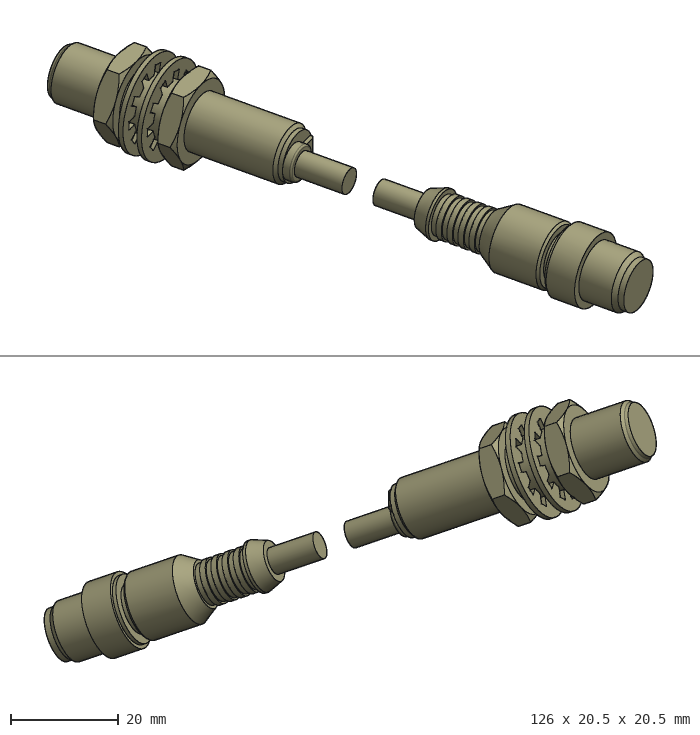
import cadquery as cq
import math

OVERALL_LENGTH = 126.0
CABLE_OFFSET_Y = -1.5
CABLE_RADIUS = 2.6

FACE_RADIUS = 5.3
BEZEL_RADIUS = 5.5
BEZEL_END_X = 0.6
BARREL_RADIUS = 6.0
BARREL_START_X = 1.3
BARREL_END_X = 49.4
BARREL_END_CHAMFER_LENGTH = 0.6
CAP_RADIUS = 5.3
CAP_END_X = 51.0
BOSS_RADIUS = CAP_RADIUS + CABLE_OFFSET_Y
BOSS_END_X = 52.9
BOSS_EDGE_RADIUS = 0.4
SENSOR_CABLE_END_X = 63.3

WINDOW_END_X = 51.9
WINDOW_INNER_Y = 1.3
WINDOW_OUTER_Y = 4.8
WINDOW_WIDTH = 3.8
WINDOW_EDGE_RADIUS = 0.8

NUT_SIDES = 6
NUT_ACROSS_FLATS = 17.0
NUT_THICKNESS = 4.2
NUT_START_XS = (12.0, 26.0)
NUT_CHAMFER_ANGLE = 30.0
NUT_FACE_RADIUS = NUT_ACROSS_FLATS / 2

WASHER_DIAMETER = 20.5
WASHER_THICKNESS = 1.0
WASHER_START_XS = (18.4, 22.4)
NOTCH_COUNT = 10
NOTCH_WIDTH = 1.9
NOTCH_OUTER_RADIUS = 8.1

PLUG_CABLE_START_X = 69.9
SLEEVE_START_X = 79.8
SLEEVE_START_RADIUS = 4.0
FLANGE_RADIUS = 5.2
FLANGE_START_X = 82.9
FLANGE_END_X = 83.5
RIB_COUNT = 4
RIB_WIDTH = 1.2
RIB_RADIUS = 4.5
GROOVE_RADIUS = 4.2
GRIP_CONE_START_RADIUS = 4.8
GRIP_START_X = 97.6
GRIP_RADIUS = 6.8
GRIP_END_X = 108.4
GRIP_CHAMFER = 0.5
NECK_RADIUS = 4.9
COLLAR_START_X = 109.7
COLLAR_LIP_RADIUS = 6.8
COLLAR_LIP_LENGTH = 0.8
COLLAR_RADIUS = 7.5
COLLAR_END_X = 116.7
THREAD_RADIUS = BARREL_RADIUS
TIP_CHAMFER_START_X = 123.7
TIP_CHAMFER_LENGTH = 1.0
TIP_RADIUS = 5.3


def cylinder(start_x, end_x, radius, center_y=0.0):
    """Solid cylinder along X."""
    return (
        cq.Workplane("YZ", origin=(start_x, center_y, 0))
        .circle(radius)
        .extrude(end_x - start_x)
    )


def turned(profile, center_y=0.0):
    """Solid of revolution along X from (x, radius) points, closed along its axis."""
    start_x = profile[0][0]
    end_x = profile[-1][0]
    points = [(start_x, 0), *profile, (end_x, 0)]
    return (
        cq.Workplane("XY")
        .polyline(points)
        .close()
        .revolve(360, (0, 0, 0), (1, 0, 0))
        .translate((0, center_y, 0))
    )


def make_window():
    """Indicator window with its outer edge rounded."""
    return (
        cq.Workplane("XY")
        .box(
            WINDOW_END_X - CAP_END_X,
            WINDOW_OUTER_Y - WINDOW_INNER_Y,
            WINDOW_WIDTH,
            centered=(False, False, True),
        )
        .edges("|Z and >X and >Y")
        .fillet(WINDOW_EDGE_RADIUS)
        .translate((CAP_END_X, WINDOW_INNER_Y, 0))
    )


def make_sensor():
    """Sensor barrel with end cap, indicator window and cable stub."""
    barrel = turned([
        (0, FACE_RADIUS),
        (BEZEL_END_X, BEZEL_RADIUS),
        (BARREL_START_X, BARREL_RADIUS),
        (BARREL_END_X, BARREL_RADIUS),
        (BARREL_END_X + BARREL_END_CHAMFER_LENGTH, CAP_RADIUS),
        (CAP_END_X, CAP_RADIUS),
    ])
    boss = (
        cylinder(BARREL_END_X, BOSS_END_X, BOSS_RADIUS, CABLE_OFFSET_Y)
        .faces(">X")
        .edges()
        .fillet(BOSS_EDGE_RADIUS)
    )
    cable = cylinder(BARREL_END_X, SENSOR_CABLE_END_X, CABLE_RADIUS, CABLE_OFFSET_Y)
    return barrel.union(make_window()).union(boss).union(cable)


def make_nut(start_x):
    """Hexagon nut, flats at +Z and -Z, with its corners turned off at both ends."""
    corner_diameter = NUT_ACROSS_FLATS / math.cos(math.pi / NUT_SIDES)
    corner_radius = corner_diameter / 2
    chamfer_length = (corner_radius - NUT_FACE_RADIUS) * math.tan(math.radians(NUT_CHAMFER_ANGLE))
    end_x = start_x + NUT_THICKNESS
    hexagon = (
        cq.Workplane("YZ", origin=(start_x, 0, 0))
        .polygon(NUT_SIDES, corner_diameter)
        .extrude(NUT_THICKNESS)
    )
    envelope = turned([
        (start_x, NUT_FACE_RADIUS),
        (start_x + chamfer_length, corner_radius),
        (end_x - chamfer_length, corner_radius),
        (end_x, NUT_FACE_RADIUS),
    ])
    return hexagon.intersect(envelope).cut(cylinder(start_x, end_x, BARREL_RADIUS))


def make_washer(start_x):
    """Washer whose bore is notched into a ring of internal teeth, one of them centred at +Z."""
    end_x = start_x + WASHER_THICKNESS
    washer = cylinder(start_x, end_x, WASHER_DIAMETER / 2).cut(cylinder(start_x, end_x, BARREL_RADIUS))
    notch = (
        cq.Workplane("XY")
        .box(WASHER_THICKNESS, NOTCH_WIDTH, NOTCH_OUTER_RADIUS, centered=(False, True, False))
        .translate((start_x, 0, 0))
    )
    pitch_angle = 360 / NOTCH_COUNT
    for index in range(NOTCH_COUNT):
        angle = (index + 0.5) * pitch_angle
        washer = washer.cut(notch.rotate((0, 0, 0), (1, 0, 0), angle))
    return washer


def make_plug():
    """Plug with cable stub, ribbed strain relief, grip, coupling collar and tip."""
    profile = [
        (PLUG_CABLE_START_X, CABLE_RADIUS),
        (SLEEVE_START_X, CABLE_RADIUS),
        (SLEEVE_START_X, SLEEVE_START_RADIUS),
        (FLANGE_START_X, FLANGE_RADIUS),
        (FLANGE_END_X, FLANGE_RADIUS),
        (FLANGE_END_X, GROOVE_RADIUS),
    ]
    for index in range(RIB_COUNT):
        rib_start_x = FLANGE_END_X + (2 * index + 1) * RIB_WIDTH
        rib_end_x = rib_start_x + RIB_WIDTH
        profile += [
            (rib_start_x, GROOVE_RADIUS),
            (rib_start_x, RIB_RADIUS),
            (rib_end_x, RIB_RADIUS),
            (rib_end_x, GROOVE_RADIUS),
        ]
    cone_start_x = FLANGE_END_X + (2 * RIB_COUNT + 1) * RIB_WIDTH
    profile += [
        (cone_start_x, GROOVE_RADIUS),
        (cone_start_x, GRIP_CONE_START_RADIUS),
        (GRIP_START_X, GRIP_RADIUS),
        (GRIP_END_X - GRIP_CHAMFER, GRIP_RADIUS),
        (GRIP_END_X, GRIP_RADIUS - GRIP_CHAMFER),
        (GRIP_END_X, NECK_RADIUS),
        (COLLAR_START_X, NECK_RADIUS),
        (COLLAR_START_X, COLLAR_LIP_RADIUS),
        (COLLAR_START_X + COLLAR_LIP_LENGTH, COLLAR_LIP_RADIUS),
        (COLLAR_START_X + COLLAR_LIP_LENGTH, COLLAR_RADIUS),
        (COLLAR_END_X, COLLAR_RADIUS),
        (COLLAR_END_X, THREAD_RADIUS),
        (TIP_CHAMFER_START_X, THREAD_RADIUS),
        (TIP_CHAMFER_START_X + TIP_CHAMFER_LENGTH, TIP_RADIUS),
        (OVERALL_LENGTH, TIP_RADIUS),
    ]
    return turned(profile, CABLE_OFFSET_Y)


sensor = make_sensor()
nuts = [make_nut(start_x) for start_x in NUT_START_XS]
washers = [make_washer(start_x) for start_x in WASHER_START_XS]
plug = make_plug()

result = cq.Compound.makeCompound([
    sensor.val(),
    *[nut.val() for nut in nuts],
    *[washer.val() for washer in washers],
    plug.val(),
])